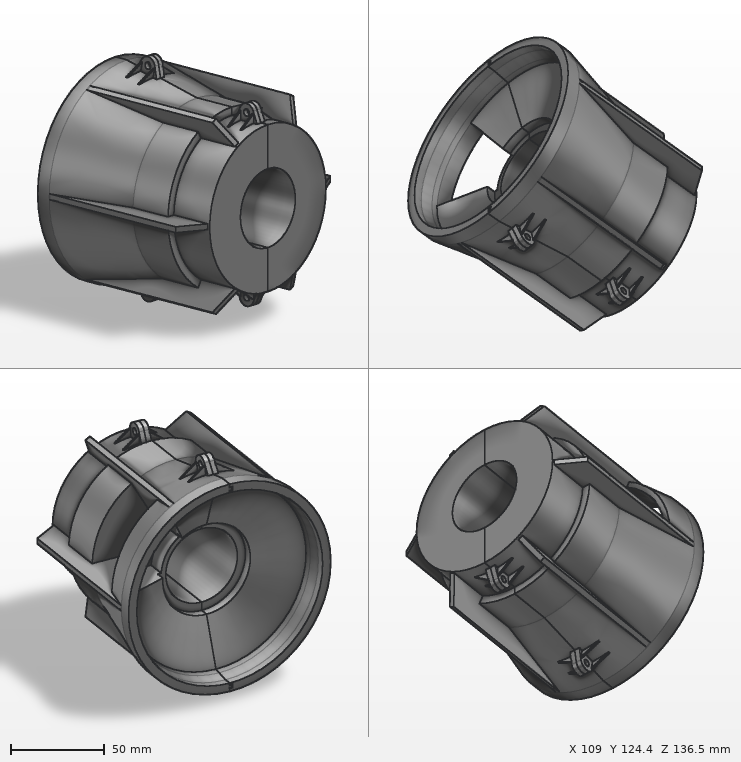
import cadquery as cq
import math

LENGTH = 109.0
RIM_RADIUS = 62.2
RIM_WIDTH = 8.0
COLLAR_RADIUS = 51.2
COLLAR_START = 58.2
COLLAR_END = 83.3
NECK_RADIUS = 46.6

MOUTH_RADIUS = 57.1
MOUTH_DEPTH = 4.8
LIP_RADIUS = 55.9
LIP_X = 11.5
FUNNEL_RADIUS = 55.3
FUNNEL_START = 14.8
FUNNEL_END = 24.9
RECESS_RADIUS = 26.9
RECESS_END = 30.2
BORE_RADIUS = 22.0

FIN_COUNT = 6
FIN_PITCH = 360 / FIN_COUNT
FIN_THICKNESS = 3.3
FIN_ROOT_RADIUS = 41.0
FIN_TIP_RADIUS = 62.0
FIN_SLOPE_START = 98.4
FIN_END = 107.5

WINDOW_START = 24.2
TUBE_RADIUS = 24.9
FLANGE_RADIUS = 28.7
FLANGE_START = 41.0

EAR_RADIUS = 5.0
EAR_HOLE_DIAMETER = 4.0
EAR_SIDE_ANGLE = 22.5
EAR_HALF_WIDTH = 3.1
EAR_HOLE_HEIGHT = 4.9
EAR_ROOT_DEPTH = 2.0
FRONT_EAR_X = 25.0
REAR_EAR_X = 96.6
FRONT_GUSSET_REACH = 14.1
REAR_GUSSET_REACH = 12.8
GUSSET_OFFSET = 4.5
GUSSET_THICKNESS = 1.0
GUSSET_RISE = 0.3

GROOVE_HEIGHT = 2.3
GROOVE_DEPTH = 1.9
TONGUE_CLEARANCE = 0.4
GROOVE_CENTRE = 59.2

CLEAR = 2 * RIM_RADIUS
CONE_ANGLE = math.degrees(math.atan2(RIM_RADIUS - COLLAR_RADIUS, COLLAR_START - RIM_WIDTH))


def cone_radius(x):
    """Outer radius of the conical stretch of the shell at x."""
    return RIM_RADIUS - (x - RIM_WIDTH) * math.tan(math.radians(CONE_ANGLE))


def turn(profile):
    """Solid of revolution about the X axis from (x, radius) points."""
    return cq.Workplane("XY").polyline(profile).close().revolve(360, (0, 0, 0), (1, 0, 0))


def make_shell():
    return turn([
        (0, 0),
        (0, RIM_RADIUS),
        (RIM_WIDTH, RIM_RADIUS),
        (COLLAR_START, COLLAR_RADIUS),
        (COLLAR_END, COLLAR_RADIUS),
        (COLLAR_END, NECK_RADIUS),
        (LENGTH, NECK_RADIUS),
        (LENGTH, 0),
    ])


def make_cavity():
    return turn([
        (0, 0),
        (0, MOUTH_RADIUS),
        (MOUTH_DEPTH, MOUTH_RADIUS),
        (LIP_X, LIP_RADIUS),
        (FUNNEL_START, FUNNEL_RADIUS),
        (FUNNEL_END, RECESS_RADIUS),
        (RECESS_END, RECESS_RADIUS),
        (RECESS_END, BORE_RADIUS),
        (LENGTH, BORE_RADIUS),
        (LENGTH, 0),
    ])


def make_fin(angle):
    """Flat fin with a sloped rear corner, turned from +Y towards +Z by angle."""
    fin = (
        cq.Workplane("XY")
        .polyline([
            (RIM_WIDTH, FIN_ROOT_RADIUS),
            (RIM_WIDTH, FIN_TIP_RADIUS),
            (FIN_SLOPE_START, FIN_TIP_RADIUS),
            (FIN_END, NECK_RADIUS),
            (FIN_END, FIN_ROOT_RADIUS),
        ])
        .close()
        .extrude(FIN_THICKNESS / 2, both=True)
    )
    return fin.rotate((0, 0, 0), (1, 0, 0), angle)


def make_window():
    """Sector between two fin faces, cut through the shell and the funnel down to the tube."""
    ring = turn([
        (FUNNEL_START, TUBE_RADIUS),
        (FUNNEL_START, FUNNEL_RADIUS),
        (WINDOW_START, FUNNEL_RADIUS),
        (WINDOW_START, CLEAR),
        (COLLAR_START, CLEAR),
        (COLLAR_START, FLANGE_RADIUS),
        (FLANGE_START, FLANGE_RADIUS),
        (FLANGE_START, TUBE_RADIUS),
    ])
    pitch = math.radians(FIN_PITCH)
    apex_distance = FIN_THICKNESS / 2 / math.sin(pitch / 2)
    apex = (apex_distance * math.cos(pitch / 2), apex_distance * math.sin(pitch / 2))
    reach = 2 * CLEAR
    wedge = (
        cq.Workplane("YZ")
        .polyline([
            apex,
            (apex[0] + reach, apex[1]),
            (apex[0] + reach * math.cos(pitch), apex[1] + reach * math.sin(pitch)),
        ])
        .close()
        .extrude(LENGTH)
    )
    return ring.intersect(wedge)


def make_ear(gusset_drop, gusset_reach):
    """Ear with four gussets; the hole axis is the Y axis and +Z points away from the shell."""
    angle = math.radians(EAR_SIDE_ANGLE)
    tangent_x = EAR_RADIUS * math.cos(angle)
    tangent_z = EAR_RADIUS * math.sin(angle)
    root_z = -EAR_HOLE_HEIGHT - EAR_ROOT_DEPTH
    root_x = tangent_x + (tangent_z - root_z) * math.tan(angle)
    ear = (
        cq.Workplane("XZ")
        .moveTo(-root_x, root_z)
        .lineTo(-tangent_x, tangent_z)
        .threePointArc((0, EAR_RADIUS), (tangent_x, tangent_z))
        .lineTo(root_x, root_z)
        .close()
        .extrude(EAR_HALF_WIDTH, both=True)
    )
    for x in (-GUSSET_OFFSET, GUSSET_OFFSET):
        gusset = (
            cq.Workplane("YZ", origin=(x, 0, 0))
            .polyline([
                (-gusset_reach, -gusset_drop),
                (-EAR_HALF_WIDTH, GUSSET_RISE),
                (EAR_HALF_WIDTH, GUSSET_RISE),
                (gusset_reach, -gusset_drop),
            ])
            .close()
            .extrude(GUSSET_THICKNESS / 2, both=True)
        )
        ear = ear.union(gusset)
    hole = cq.Workplane("XZ").circle(EAR_HOLE_DIAMETER / 2).extrude(CLEAR, both=True)
    return ear.cut(hole)


def place_ear(x, surface_radius, tilt, gusset_reach):
    """Stand an ear on the shell at x, square to a surface that slopes down by tilt degrees."""
    gusset_drop = EAR_HOLE_HEIGHT + surface_radius - math.sqrt(surface_radius**2 - gusset_reach**2)
    ear = make_ear(gusset_drop, gusset_reach)
    slope = math.radians(tilt)
    return ear.rotate((0, 0, 0), (0, 1, 0), tilt).translate((
        x + EAR_HOLE_HEIGHT * math.sin(slope),
        0,
        surface_radius + EAR_HOLE_HEIGHT * math.cos(slope),
    ))


def make_whole():
    whole = make_shell()
    for i in range(FIN_COUNT):
        whole = whole.union(make_fin(i * FIN_PITCH))
    ears = [
        place_ear(FRONT_EAR_X, cone_radius(FRONT_EAR_X), CONE_ANGLE, FRONT_GUSSET_REACH),
        place_ear(REAR_EAR_X, NECK_RADIUS, 0, REAR_GUSSET_REACH),
    ]
    for ear in ears:
        whole = whole.union(ear).union(ear.mirror("XY"))
    return whole.cut(make_cavity()).cut(make_window())


def make_key(depth, height):
    """Bars along the rim, at the top and the bottom, that reach from y = 0 towards -Y."""
    bar = cq.Workplane("XY").box(RIM_WIDTH, depth, height, centered=(False, False, True))
    bar = bar.translate((0, -depth, GROOVE_CENTRE))
    return bar.union(bar.mirror("XY"))


def half_space(side):
    """Block that covers everything on one side (+1 or -1) of the parting plane."""
    return cq.Workplane("XY").box(2 * CLEAR, CLEAR, 2 * CLEAR).translate((0, side * CLEAR / 2, 0))


def make_plain_half(whole):
    groove = make_key(GROOVE_DEPTH, GROOVE_HEIGHT)
    return whole.intersect(half_space(-1)).cut(groove)


def make_window_half(whole):
    tongue = make_key(GROOVE_DEPTH - TONGUE_CLEARANCE, GROOVE_HEIGHT - 2 * TONGUE_CLEARANCE)
    return whole.intersect(half_space(1)).union(tongue)


whole = make_whole()
plain_half = make_plain_half(whole)
window_half = make_window_half(whole)
result = cq.Compound.makeCompound([plain_half.val(), window_half.val()])